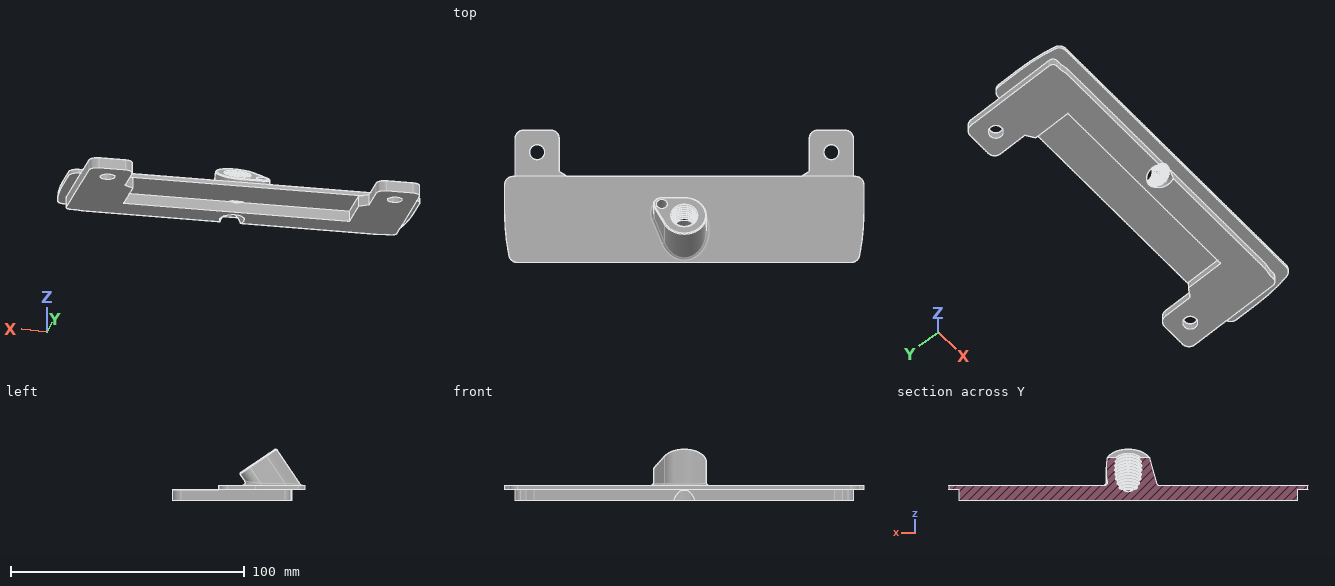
import cadquery as cq
import math

PLATE_LENGTH = 154.0
PLATE_DEPTH = 37.0
PLATE_THICKNESS = 1.8
CORNER_RADIUS = 3.7
SIDE_BOW_RADIUS = 90.0
SIDE_BOW_START = 21.3

FRAME_HEIGHT = 4.7
FRAME_LENGTH = 145.0
FRAME_BACK = 56.8
RAIL_FRONT = 5.5
RAIL_BACK = 18.1
RAIL_END_SETBACK = 0.6
RAIL_END_RADIUS = 2.4
SETBACK_OUTER_X = 67.8
SETBACK_INNER_X = 64.4
TAB_WIDTH = 19.0
TAB_HOLE_DIAMETER = 6.3
SHOULDER_BACK = 39.1
SHOULDER_WIDTH = 4.0
SHOULDER_DROP = 2.6

BOSS_TILT = 34.0
BOSS_TOP = 22.06
BOSS_FRONT_RIM_Y = 12.7
BOSS_RADIUS = 9.5
BOSS_BASE_FILLET = 1.2
BOSS_RIM_CHAMFER = 0.4
LUG_RADIUS = 3.6
LUG_OFFSET_X = -9.6
LUG_HOLE_DIAMETER = 4.7
LUG_HOLE_DEPTH = 8.0

BORE_DIAMETER = 10.58
GROOVE_DIAMETER = 11.6
GROOVE_PITCH = 1.56
GROOVE_MOUTH_WIDTH = 1.1
GROOVE_ROOT_WIDTH = 0.3
GROOVE_COUNT = 12

PLATE_TOP = FRAME_HEIGHT + PLATE_THICKNESS
LUG_OFFSET_Y = BOSS_RADIUS - LUG_RADIUS
TILT = math.radians(BOSS_TILT)
RIM_RADIUS = BOSS_RADIUS - BOSS_RIM_CHAMFER
BOSS_CENTRE_Y = BOSS_FRONT_RIM_Y + RIM_RADIUS * math.cos(TILT)
BOSS_CENTRE_Z = BOSS_TOP - RIM_RADIUS * math.sin(TILT)
BOSS_REACH = 2 * BOSS_TOP
SEAM_MARGIN = 0.1


def boss_top_plane():
    """Plane of the boss top face, its normal along the leaning axis."""
    return cq.Workplane(
        cq.Plane(
            origin=(0, BOSS_CENTRE_Y, BOSS_CENTRE_Z),
            xDir=(1, 0, 0),
            normal=(0, math.sin(TILT), math.cos(TILT)),
        )
    )


def bow_x(y):
    """Half length of the plate at a distance y from its front edge."""
    rise = SIDE_BOW_START - y
    return PLATE_LENGTH / 2 - SIDE_BOW_RADIUS + math.sqrt(SIDE_BOW_RADIUS**2 - rise**2)


def make_plate():
    half = PLATE_LENGTH / 2
    middle_y = SIDE_BOW_START / 2
    return (
        cq.Workplane("XY", origin=(0, 0, FRAME_HEIGHT))
        .moveTo(-half, PLATE_DEPTH)
        .lineTo(-half, SIDE_BOW_START)
        .threePointArc((-bow_x(middle_y), middle_y), (-bow_x(0), 0))
        .lineTo(bow_x(0), 0)
        .threePointArc((bow_x(middle_y), middle_y), (half, SIDE_BOW_START))
        .lineTo(half, PLATE_DEPTH)
        .close()
        .extrude(PLATE_THICKNESS)
        .edges("|Z")
        .edges("<Y or >Y")
        .fillet(CORNER_RADIUS)
    )


def make_rail():
    half = FRAME_LENGTH / 2
    end_front = RAIL_FRONT + RAIL_END_SETBACK
    return (
        cq.Workplane("XY")
        .moveTo(-half, RAIL_BACK)
        .lineTo(-half, end_front)
        .lineTo(-SETBACK_OUTER_X, end_front)
        .lineTo(-SETBACK_INNER_X, RAIL_FRONT)
        .lineTo(SETBACK_INNER_X, RAIL_FRONT)
        .lineTo(SETBACK_OUTER_X, end_front)
        .lineTo(half, end_front)
        .lineTo(half, RAIL_BACK)
        .close()
        .extrude(FRAME_HEIGHT)
        .edges("|Z and (<X or >X)")
        .edges("<Y")
        .fillet(RAIL_END_RADIUS)
    )


def make_tab(side):
    """Drilled tab running back from the rail, with a sloping shoulder; side is -1 or 1."""
    outer_x = side * FRAME_LENGTH / 2
    tab_x = outer_x - side * TAB_WIDTH / 2
    inner_x = outer_x - side * TAB_WIDTH
    shoulder_x = inner_x - side * SHOULDER_WIDTH
    tab = (
        cq.Workplane("XY")
        .center(tab_x, (RAIL_BACK + FRAME_BACK) / 2)
        .rect(TAB_WIDTH, FRAME_BACK - RAIL_BACK)
        .extrude(FRAME_HEIGHT)
        .edges("|Z and >Y")
        .fillet(CORNER_RADIUS)
    )
    shoulder = (
        cq.Workplane("XY")
        .moveTo(inner_x, RAIL_BACK)
        .lineTo(inner_x, SHOULDER_BACK)
        .lineTo(shoulder_x, SHOULDER_BACK - SHOULDER_DROP)
        .lineTo(shoulder_x, RAIL_BACK)
        .close()
        .extrude(FRAME_HEIGHT)
    )
    hole = (
        cq.Workplane("XY")
        .center(tab_x, FRAME_BACK - TAB_WIDTH / 2)
        .circle(TAB_HOLE_DIAMETER / 2)
        .extrude(FRAME_HEIGHT)
    )
    return tab.union(shoulder).cut(hole)


def on_circle(centre, radius, angle):
    """Point of a circle at an angle in radians."""
    return (centre[0] + radius * math.cos(angle), centre[1] + radius * math.sin(angle))


def make_boss():
    lug = (LUG_OFFSET_X, LUG_OFFSET_Y)
    main = (0, 0)
    lug_angle = math.atan2(LUG_OFFSET_Y, LUG_OFFSET_X)
    spread = math.acos((BOSS_RADIUS - LUG_RADIUS) / math.hypot(*lug))
    upper = lug_angle - spread
    lower = lug_angle + spread
    body = (
        boss_top_plane()
        .moveTo(*on_circle(lug, LUG_RADIUS, upper))
        .threePointArc(on_circle(lug, LUG_RADIUS, lug_angle), on_circle(lug, LUG_RADIUS, lower))
        .lineTo(*on_circle(main, BOSS_RADIUS, lower))
        .threePointArc(
            on_circle(main, BOSS_RADIUS, lug_angle + math.pi), on_circle(main, BOSS_RADIUS, upper)
        )
        .close()
        .extrude(-BOSS_REACH)
        .faces(cq.selectors.NearestToPointSelector((0, BOSS_CENTRE_Y, BOSS_CENTRE_Z)))
        .edges()
        .chamfer(BOSS_RIM_CHAMFER)
    )
    below = (
        cq.Workplane("XY", origin=(0, 0, FRAME_HEIGHT - BOSS_REACH))
        .rect(2 * BOSS_REACH, 2 * BOSS_REACH)
        .extrude(BOSS_REACH)
    )
    return body.cut(below)


def make_bore():
    return boss_top_plane().circle(BORE_DIAMETER / 2).extrude(-BOSS_REACH)


def make_grooved_bore():
    """Bore with thread-like ring grooves, the first one opening at the mouth."""
    bore_radius = BORE_DIAMETER / 2
    root_radius = GROOVE_DIAMETER / 2
    flank = (GROOVE_MOUTH_WIDTH - GROOVE_ROOT_WIDTH) / 2
    outline = boss_top_plane().transformed(rotate=(90, 0, 0)).lineTo(root_radius, 0)
    for index in range(GROOVE_COUNT):
        root_end = -index * GROOVE_PITCH - GROOVE_ROOT_WIDTH / 2
        next_root = -(index + 1) * GROOVE_PITCH + GROOVE_ROOT_WIDTH / 2
        outline = (
            outline.lineTo(root_radius, root_end)
            .lineTo(bore_radius, root_end - flank)
            .lineTo(bore_radius, next_root + flank)
            .lineTo(root_radius, next_root)
        )
    outline = outline.lineTo(root_radius, -BOSS_REACH).lineTo(0, -BOSS_REACH).close()
    return outline.revolve(360, (0, 0), (0, 1))


def make_lug_hole():
    return (
        boss_top_plane()
        .center(LUG_OFFSET_X, LUG_OFFSET_Y)
        .circle(LUG_HOLE_DIAMETER / 2)
        .extrude(-LUG_HOLE_DEPTH)
    )


def make_cover():
    """Plate and boss blended together, with the grooved bore and the lug hole."""
    cover = make_plate().union(make_boss())
    seam_area = cq.selectors.BoxSelector(
        (-PLATE_LENGTH / 4, SEAM_MARGIN, PLATE_TOP - SEAM_MARGIN),
        (PLATE_LENGTH / 4, PLATE_DEPTH - SEAM_MARGIN, PLATE_TOP + SEAM_MARGIN),
        boundingbox=True,
    )
    cover = cover.edges(seam_area).fillet(BOSS_BASE_FILLET)
    return cover.cut(make_grooved_bore()).cut(make_lug_hole())


def make_frame():
    frame = make_rail()
    for side in (-1, 1):
        frame = frame.union(make_tab(side))
    return frame.cut(make_bore())


result = make_cover().union(make_frame())